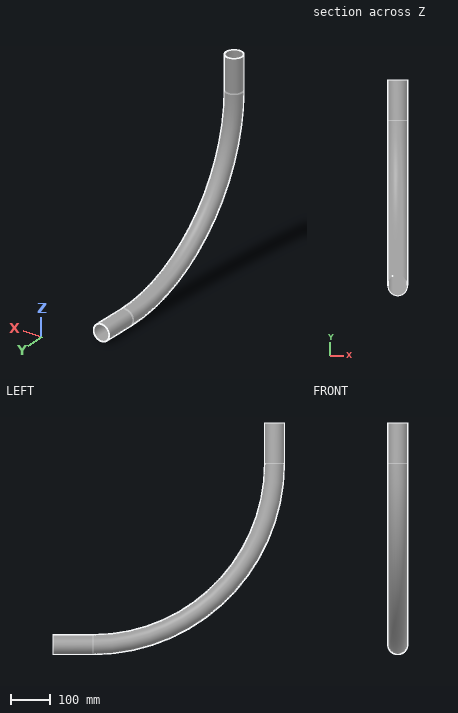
import cadquery as cq

overall_size = 584.0
outer_diameter = 51.0
inner_diameter = 47.0
leg_length = 101.5

bend_radius = overall_size - leg_length - outer_diameter / 2


def make_leg(plane, center):
    """Straight hollow leg, extruded from the bend end along the plane normal."""
    return (
        cq.Workplane(plane, origin=center)
        .circle(outer_diameter / 2)
        .circle(inner_diameter / 2)
        .extrude(leg_length)
    )


bend = (
    cq.Workplane("XY")
    .circle(outer_diameter / 2)
    .circle(inner_diameter / 2)
    .revolve(90, (0, bend_radius, 0), (1, bend_radius, 0))
)

upright_leg = make_leg("XY", (0, 0, 0))
level_leg = make_leg("ZX", (0, bend_radius, -bend_radius))

result = bend.union(upright_leg).union(level_leg)